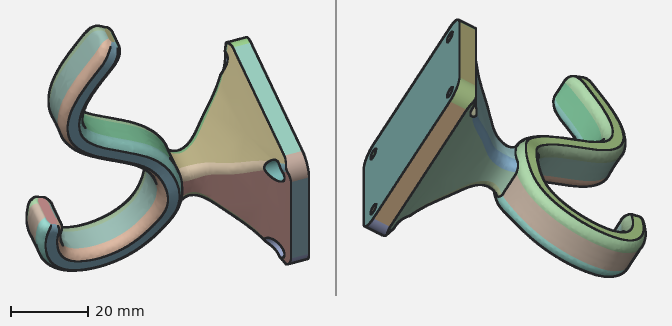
import cadquery as cq
import math

plate_width = 49.8
plate_height = 39.7
plate_thickness = 5.0
plate_corner_radius = 5.0

hole_diameter = 3.0
counterbore_diameter = 6.0
counterbore_floor = 2.5

neck_half_size = 5.1
neck_depth = 24.9
flare_end_depth = 30.1
flare_end_half_width = 6.5
flare_end_half_height = 7.4
ridge_radius = 2.7
side_profile = [(6.7, 21.75), (9.9, 16.8), (17.6, 9.7), (22.2, 5.85)]
top_profile = [(10.2, 14.1), (17.6, 8.45), (21.8, 6.1)]

bulge_center = (-31.1, 0.0)
bar_width = 12.3
bar_thickness = 6.35
flat_ratio_width = 0.5
flat_ratio_thickness = 0.5
bulge_width = 3.5
bulge_reach = 15.05
centerline = [
    (-45.8, 60.9), (-51.4, 52.85), (-55.7, 45.8), (-58.0, 37.2), (-56.45, 30.0),
    (-52.1, 25.1), (-43.0, 19.0), (-35.0, 12.2), bulge_center, (-37.5, -13.4),
    (-50.5, -18.7), (-61.5, -14.9), (-64.1, -7.5), (-62.9, -0.9),
]
station_count = 30
upper_tip_width_round = (5.85, 3.85)
upper_tip_thickness_round = (2.9, 2.3)
lower_tip_width_round = (1.5, 1.3)
lower_tip_thickness_round = (1.8, 1.7)


def flare_profile(plane, start_half, middle, end_half, span):
    """Symmetric concave outline in (half size, depth), extruded over a centered span."""
    curve = middle + [(neck_depth, neck_half_size), (flare_end_depth, end_half)]
    right = [(half, -depth) for depth, half in curve]
    left = [(-half, y) for half, y in reversed(right)]
    return (
        cq.Workplane(plane)
        .workplane(offset=-span / 2)
        .moveTo(start_half, -plate_thickness)
        .spline(right, includeCurrent=True)
        .lineTo(*left[0])
        .spline(left[1:] + [(-start_half, -plate_thickness)], includeCurrent=True)
        .close()
        .extrude(span)
    )


def plate_prism(depth):
    """Rounded plate outline running from the wall toward -Y."""
    return (
        cq.Workplane("XZ")
        .rect(plate_width, plate_height)
        .extrude(depth)
        .edges("|Y")
        .fillet(plate_corner_radius)
    )


def make_base():
    upright = cq.Plane(origin=(0, 0, 0), xDir=(0, 0, 1), normal=(-1, 0, 0))
    sides = flare_profile("XY", plate_width / 2, side_profile, flare_end_half_width, plate_height)
    top = flare_profile(upright, plate_height / 2, top_profile, flare_end_half_height, plate_width)
    pyramid = sides.intersect(top)
    ridges = pyramid.edges("(not #Y) and (not |X) and (not |Z)")
    pyramid = ridges.fillet(ridge_radius)
    pyramid = pyramid.intersect(plate_prism(flare_end_depth))
    return plate_prism(plate_thickness).union(pyramid)


def cut_screw_holes(body):
    hole_x = plate_width / 2 - plate_corner_radius
    hole_z = plate_height / 2 - plate_corner_radius
    centers = [(x, z) for x in (-hole_x, hole_x) for z in (-hole_z, hole_z)]
    holes = cq.Workplane("XZ").pushPoints(centers).circle(hole_diameter / 2).extrude(flare_end_depth)
    counterbores = (
        cq.Workplane("XZ", origin=(0, -counterbore_floor, 0))
        .pushPoints(centers)
        .circle(counterbore_diameter / 2)
        .extrude(flare_end_depth - counterbore_floor)
    )
    return body.cut(holes).cut(counterbores)


def tip_drop(distance, rounding):
    """Elliptical loss of half size at a distance from the end of the bar."""
    length, drop = rounding
    reach = max(0.0, 1 - distance / length)
    return drop * (1 - math.sqrt(1 - reach**2))


def bar_section(plane, half_width, half_thickness):
    """Flat-sided section with rounded corners."""
    flat_x = half_width * flat_ratio_width
    flat_y = half_thickness * flat_ratio_thickness
    bend = math.sqrt(0.5)
    bend_x = flat_x + (half_width - flat_x) * bend
    bend_y = flat_y + (half_thickness - flat_y) * bend
    return (
        cq.Workplane(plane)
        .moveTo(-flat_x, -half_thickness)
        .lineTo(flat_x, -half_thickness)
        .threePointArc((bend_x, -bend_y), (half_width, -flat_y))
        .lineTo(half_width, flat_y)
        .threePointArc((bend_x, bend_y), (flat_x, half_thickness))
        .lineTo(-flat_x, half_thickness)
        .threePointArc((-bend_x, bend_y), (-half_width, flat_y))
        .lineTo(-half_width, -flat_y)
        .threePointArc((-bend_x, -bend_y), (-flat_x, -half_thickness))
        .close()
        .val()
    )


def make_hook():
    path = cq.Edge.makeSpline([cq.Vector(0, y, z) for y, z in centerline])
    length = path.Length()
    sections = []
    for index in range(station_count + 1):
        fraction = (1 - math.cos(math.pi * index / station_count)) / 2
        point = path.positionAt(fraction)
        plane = cq.Plane(origin=point, xDir=(1, 0, 0), normal=path.tangentAt(fraction))
        from_upper = length * fraction
        from_lower = length - from_upper
        offset = math.dist((point.y, point.z), bulge_center)
        bulge = bulge_width * math.cos(math.pi / 2 * min(1.0, offset / bulge_reach)) ** 2
        half_width = (
            (bar_width + bulge) / 2
            - tip_drop(from_upper, upper_tip_width_round)
            - tip_drop(from_lower, lower_tip_width_round)
        )
        half_thickness = (
            bar_thickness / 2
            - tip_drop(from_upper, upper_tip_thickness_round)
            - tip_drop(from_lower, lower_tip_thickness_round)
        )
        sections.append(bar_section(plane, half_width, half_thickness))
    return cq.Workplane(cq.Solid.makeLoft(sections))


base = cut_screw_holes(make_base())
result = base.union(make_hook())